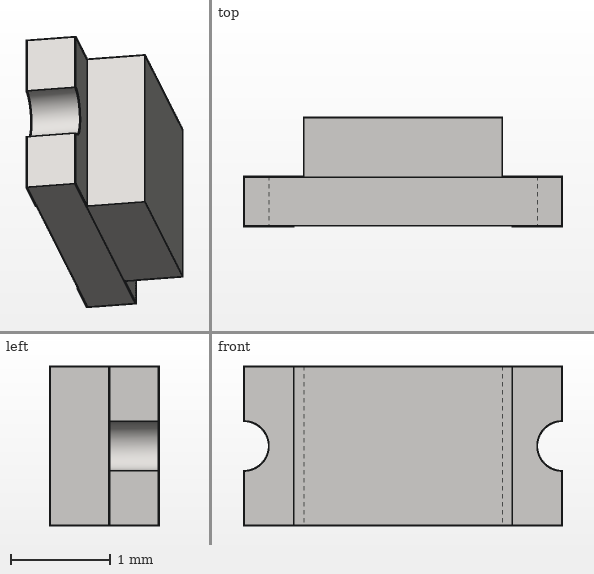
import cadquery as cq

LENGTH = 3.2
HEIGHT = 1.6
DEPTH = 1.1

PAD_THICKNESS = 0.01
LENS_LENGTH = 2.0
LENS_DEPTH = 0.6
FRONT_PAD_LENGTH = 0.5
BACK_PAD_LENGTH = (LENGTH - LENS_LENGTH) / 2
NOTCH_RADIUS = 0.25

FRONT_Y = -DEPTH / 2
LENS_Y = DEPTH / 2 - LENS_DEPTH
BOARD_FRONT_Y = FRONT_Y + PAD_THICKNESS
BOARD_DEPTH = LENS_Y - BOARD_FRONT_Y
END_SIDES = (-1, 1)


def block(length, start_y, depth, center_x=0.0):
    """Full-height block whose depth runs toward +Y from start_y."""
    return cq.Workplane("XY").box(length, depth, HEIGHT).translate((center_x, start_y + depth / 2, 0))


def end_cylinder(side, radius, start_y, depth):
    """Cylinder along Y, centred on the middle of one end of the board."""
    axis_start = cq.Vector(side * LENGTH / 2, start_y, 0)
    return cq.Workplane(cq.Solid.makeCylinder(radius, depth, axis_start, cq.Vector(0, 1, 0)))


def make_board():
    """Board with half-round end notches."""
    board = block(LENGTH, BOARD_FRONT_Y, BOARD_DEPTH)
    for side in END_SIDES:
        board = board.cut(end_cylinder(side, NOTCH_RADIUS, BOARD_FRONT_Y, BOARD_DEPTH))
    return board


def make_lens():
    """Plain rectangular lens behind the board."""
    return block(LENS_LENGTH, LENS_Y, LENS_DEPTH)


def make_pad(side, length, start_y):
    """Thin terminal pad on one face of the board, notched at its outer end."""
    center_x = side * (LENGTH - length) / 2
    pad = block(length, start_y, PAD_THICKNESS, center_x)
    return pad.cut(end_cylinder(side, NOTCH_RADIUS, start_y, PAD_THICKNESS))


board = make_board()
lens = make_lens()
front_pads = [make_pad(side, FRONT_PAD_LENGTH, FRONT_Y) for side in END_SIDES]
back_pads = [make_pad(side, BACK_PAD_LENGTH, LENS_Y) for side in END_SIDES]

bodies = [board, lens, *front_pads, *back_pads]
result = cq.Compound.makeCompound([body.val() for body in bodies])